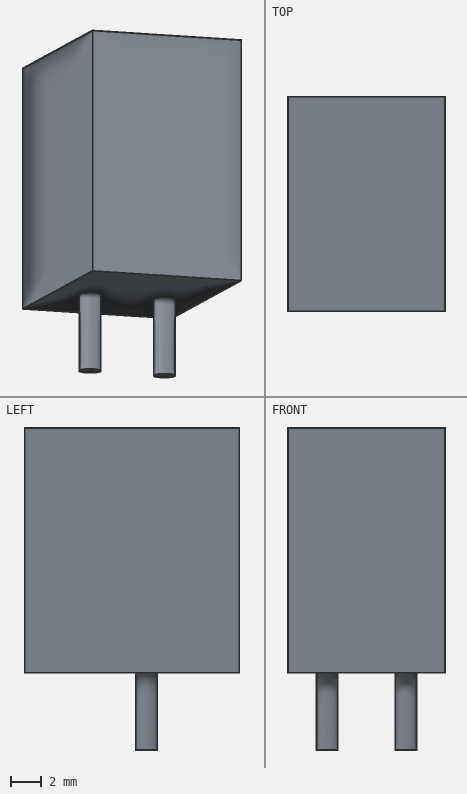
import cadquery as cq

housing_width = 10.15
housing_depth = 13.89
housing_height = 15.82

pin_diameter = 1.4
pin_length = 5.0
pin_spacing = 5.08
pin_row_y = -0.94


def make_housing():
    """Plain block, centred on the Z axis with its underside at Z = 0."""
    return cq.Workplane("XY").box(
        housing_width, housing_depth, housing_height, centered=(True, True, False)
    )


def make_pin(x):
    """Round pin hanging from the housing underside."""
    return cq.Workplane("XY").center(x, pin_row_y).circle(pin_diameter / 2).extrude(-pin_length)


housing = make_housing()
pins = [make_pin(side * pin_spacing / 2) for side in (-1, 1)]

result = cq.Compound.makeCompound([housing.val(), *[pin.val() for pin in pins]])